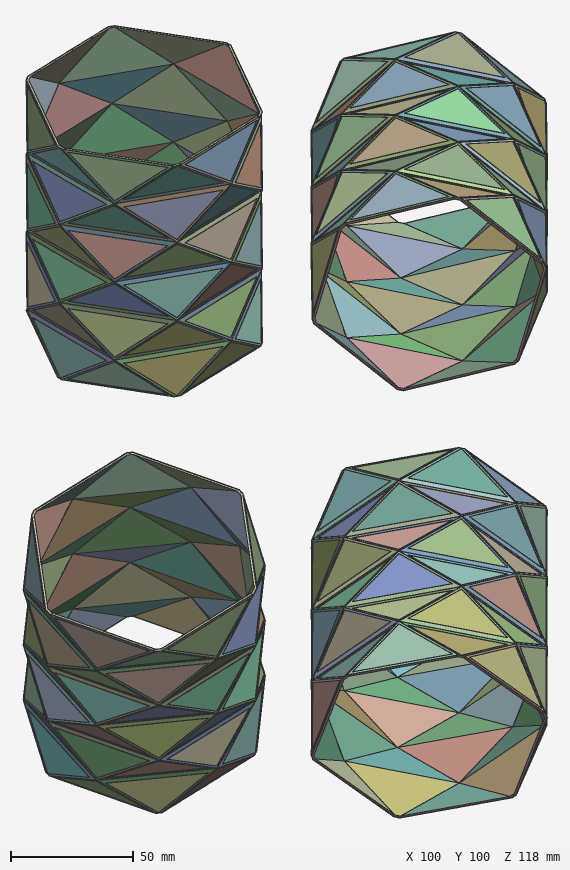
import cadquery as cq
import math

SIDES = 6
BANDS = 6
HEIGHT = 118.0
END_TRIM = 1.0
BAND_HEIGHT = (HEIGHT + 2 * END_TRIM) / BANDS
OUTER_RADIUS = 100.0 / 2
STEP_ANGLE = 2 * math.pi / SIDES

WALL = 1.2
FRAME_THICKNESS = 0.1
FRAME_INNER_RADIUS = OUTER_RADIUS - FRAME_THICKNESS
INNER_RADIUS = OUTER_RADIUS - WALL

VALLEY_STRIP = 2.0
RIDGE_STRIP = 1.0
WINDOW_DEPTH = 2 * FRAME_THICKNESS


def hexagon_corners(radius, level):
    """Corners of the hexagon at one level, turned half a step on odd levels."""
    z = level * BAND_HEIGHT - HEIGHT / 2 - END_TRIM
    start = (level % 2) * STEP_ANGLE / 2
    angles = [start + i * STEP_ANGLE for i in range(SIDES)]
    return [cq.Vector(radius * math.cos(a), radius * math.sin(a), z) for a in angles]


def facets(radius):
    """All triangles of the folded surface, each as base start, base end and apex."""
    triangles = []
    for level in range(BANDS):
        odd = level % 2
        low = hexagon_corners(radius, level)
        high = hexagon_corners(radius, level + 1)
        for i in range(SIDES):
            j = (i + 1) % SIDES
            triangles.append((low[i], low[j], high[(i + odd) % SIDES]))
            triangles.append((high[i], high[j], low[(j - odd) % SIDES]))
    return triangles


def polygon_face(points):
    return cq.Face.makeFromWires(cq.Wire.makePolygon(points, close=True))


def folded_solid(radius):
    """Solid bounded by the folded surface and a flat hexagon at each end."""
    ends = [hexagon_corners(radius, 0), hexagon_corners(radius, BANDS)]
    faces = [polygon_face(points) for points in ends + facets(radius)]
    return cq.Workplane(cq.Solid.makeSolid(cq.Shell.makeShell(faces)))


def window_prism(base_start, base_end, apex):
    """Inset triangle of one facet, extruded square to the facet into the wall."""
    middle = (base_start + base_end) * 0.5
    along = (base_end - base_start).normalized()
    rise = (apex - middle).normalized()
    half_base = (base_end - base_start).Length / 2
    facet_height = (apex - middle).Length
    slant = math.hypot(half_base, facet_height)

    half_window = half_base * (1 - VALLEY_STRIP / facet_height) - RIDGE_STRIP * slant / facet_height
    tip_height = facet_height - RIDGE_STRIP * slant / half_base
    window_base = middle + rise * VALLEY_STRIP
    corners = [
        window_base - along * half_window,
        window_base + along * half_window,
        middle + rise * tip_height,
    ]

    inward = along.cross(rise)
    if inward.dot(cq.Vector(middle.x, middle.y, 0)) > 0:
        inward = -inward
    outline = cq.Wire.makePolygon(corners, close=True)
    return cq.Solid.extrudeLinear(outline, [], inward * WINDOW_DEPTH)


def make_tube():
    """Whole folded wall, trimmed flat at both ends."""
    slab = cq.Workplane().box(3 * OUTER_RADIUS, 3 * OUTER_RADIUS, HEIGHT)
    return folded_solid(OUTER_RADIUS).cut(folded_solid(INNER_RADIUS)).intersect(slab)


def make_frame(tube):
    """Outer lattice of strips along the folds, with a triangular window in every facet."""
    windows = [window_prism(*facet) for facet in facets(OUTER_RADIUS)]
    window_cutter = cq.Workplane(cq.Compound.makeCompound(windows))
    return tube.cut(folded_solid(FRAME_INNER_RADIUS)).cut(window_cutter)


def make_liner(tube, frame):
    """Continuous inner wall with raised triangular panels that fill the frame windows flush."""
    return tube.cut(frame)


tube = make_tube()
frame = make_frame(tube)
liner = make_liner(tube, frame)

result = cq.Compound.makeCompound([frame.solids().val(), liner.solids().val()])